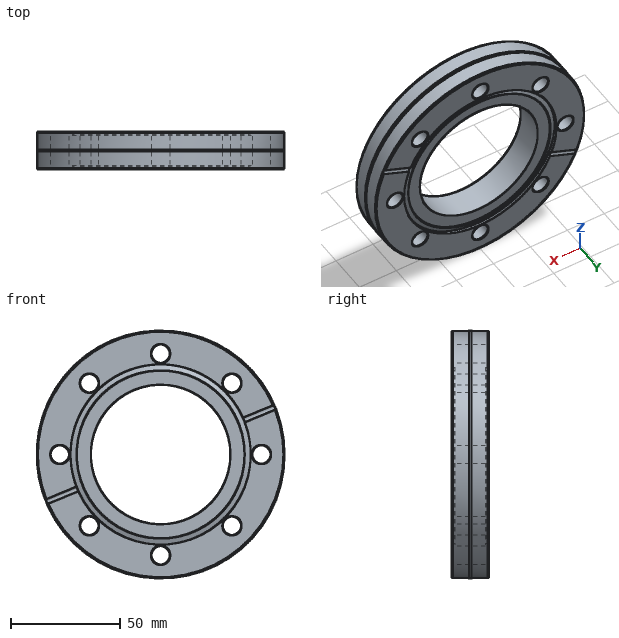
import cadquery as cq
import math

flange_diameter = 113.5
flange_thickness = 17.3
bore_diameter = 63.8

rim_band_width = 1.0
rim_band_height = 0.1

rim_chamfer_width = 0.7
rim_chamfer_height = 0.5

recess_diameter = 82.5
knife_diameter = 77.1
seal_floor_diameter = 76.7
knife_tip_depth = 0.7
knife_slope_angle = 20
seal_floor_depth = 1.2

bolt_count = 8
bolt_circle_diameter = 92.3
bolt_hole_diameter = 8.4
bolt_hole_chamfer = 0.2

leak_groove_width = 2.3
leak_groove_depth = 0.6
leak_groove_angle = 22.5

half_thickness = flange_thickness / 2


def revolved(profile):
    """Revolve a closed (radius, y) outline around the Y axis."""
    return cq.Workplane("XY").polyline(profile).close().revolve(360, (0, 0, 0), (0, 1, 0))


def mirrored_outline(half_outline):
    """Complete an outline given for y >= 0 with its mirror image below y = 0."""
    return half_outline + [(radius, -y) for radius, y in reversed(half_outline)]


def flange_body():
    """Flange ring with a knife-edge seal on each face and a low band around the rim."""
    bore_radius = bore_diameter / 2
    floor_radius = seal_floor_diameter / 2
    knife_radius = knife_diameter / 2
    recess_radius = recess_diameter / 2
    band_radius = flange_diameter / 2
    rim_radius = band_radius - rim_band_height
    knife_slope_drop = (recess_radius - knife_radius) * math.tan(math.radians(knife_slope_angle))
    floor_y = half_thickness - seal_floor_depth
    knife_tip_y = half_thickness - knife_tip_depth
    half_outline = [
        (bore_radius, floor_y),
        (floor_radius, floor_y),
        (knife_radius, knife_tip_y),
        (recess_radius, knife_tip_y - knife_slope_drop),
        (recess_radius, half_thickness),
        (rim_radius - rim_chamfer_height, half_thickness),
        (rim_radius, half_thickness - rim_chamfer_width),
        (rim_radius, rim_band_width / 2),
        (band_radius, rim_band_width / 2),
    ]
    return revolved(mirrored_outline(half_outline))


def bolt_hole():
    """Through hole on the Y axis, chamfered at both mouths."""
    hole_radius = bolt_hole_diameter / 2
    mouth_radius = hole_radius + bolt_hole_chamfer
    half_outline = [
        (0, half_thickness),
        (mouth_radius, half_thickness),
        (hole_radius, half_thickness - bolt_hole_chamfer),
    ]
    return revolved(mirrored_outline(half_outline))


def leak_groove(face_y):
    """Round-bottomed groove along +X in one face, from over the knife slope to beyond the rim."""
    start_radius = (knife_diameter + recess_diameter) / 4
    groove_radius = (leak_groove_width ** 2 / 4 + leak_groove_depth ** 2) / (2 * leak_groove_depth)
    axis_offset = half_thickness + groove_radius - leak_groove_depth
    return (
        cq.Workplane("YZ", origin=(start_radius, 0, 0))
        .center(math.copysign(axis_offset, face_y), 0)
        .circle(groove_radius)
        .extrude(flange_diameter / 2)
    )


def turned_about_axis(shape, angle):
    """Turn a shape about the flange axis, from +X towards +Z."""
    return shape.rotate((0, 0, 0), (0, 1, 0), -angle)


result = flange_body()

for index in range(bolt_count):
    hole = bolt_hole().translate((bolt_circle_diameter / 2, 0, 0))
    result = result.cut(turned_about_axis(hole, index * 360 / bolt_count))

for face_y in (-half_thickness, half_thickness):
    for angle in (leak_groove_angle, leak_groove_angle + 180):
        result = result.cut(turned_about_axis(leak_groove(face_y), angle))